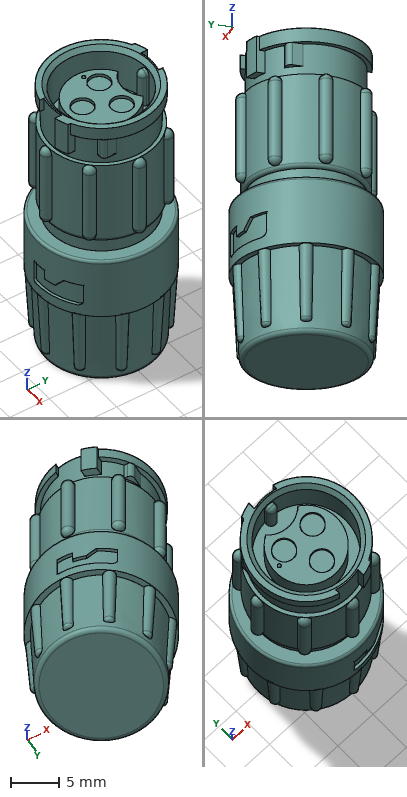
import cadquery as cq

total_height = 35.05
cap_top = 9.8
collar_top = 17.45
ring_bottom = 19.17
ring_top = 29.8
lug_bottom = 30.9
flange_bottom = 33.47

cap_turn = 18.7

cap_bottom_radius = 6.95
cap_top_radius = 7.33
collar_radius = 8.0
neck_radius = 6.3
ring_radius = 6.75
flange_radius = 6.85
cap_edge_round = 0.53
collar_edge_round = 0.3
ring_edge_round = 0.42

ring_rib_count = 8
ring_rib_radius = 0.75
ring_rib_circle = 6.87
ring_rib_bottom = 19.63
ring_rib_end_round = 0.99 * ring_rib_radius
cap_rib_count = 10
cap_rib_tip_height = 1.25
cap_rib_root_radius = 0.75
cap_rib_tip_radius = 0.6
cap_rib_root_circle = 7.22
cap_rib_tip_circle = 6.87
cap_rib_tip_round = 0.42
cap_rib_overlap = 0.18

gap_half_width = 1.58
tooth_width = 1.58
tooth_radius = 7.1
lug_x = 5.92
lug_y = 3.9
lug_round = 0.55

recess_depth = 0.35
recess_bottom = 11.1
recess_top = 13.95
recess_left = -3.22
recess_right = 3.15
stop_bottom = 12.75
stop_left = -1.47
stop_slope_width = 1.1
recess_large_round = 0.7
recess_small_round = 0.28

bore_radius = 5.6
bore_chamfer = 0.53
bore_floor = ring_top
insert_radius = 4.35
insert_top = 33.15
bite_radius = 3.2
bite_center_y = 5.9
contact_count = 3
contact_circle = 2.35
contact_radius = 1.3
contact_depth = 0.4
mark_x = -3.58
mark_y = 0.28
mark_radius = 0.2
key_radius = 0.63
key_center_y = 5.25
key_top = 34.3


def cylinder(radius, bottom, top, x=0.0, y=0.0):
    """Upright cylinder between two levels."""
    return cq.Workplane("XY", origin=(x, y, bottom)).circle(radius).extrude(top - bottom)


def block(x_min, x_max, y_min, y_max, bottom, top):
    """Box given by its limits."""
    size = (x_max - x_min, y_max - y_min, top - bottom)
    return cq.Workplane("XY", origin=(x_min, y_min, bottom)).box(*size, centered=False)


def both_sides(shape):
    """A shape together with its copy half a turn around the axis."""
    return shape.union(shape.rotate((0, 0, 0), (0, 0, 1), 180))


def around_axis(shape, count, start_angle):
    """Equally spaced copies of a shape that lies on the +X side."""
    copies = cq.Workplane("XY")
    for index in range(count):
        angle = start_angle + index * 360.0 / count
        copies = copies.add(shape.rotate((0, 0, 0), (0, 0, 1), angle))
    return copies.combine()


def turned_body():
    """Cap, collar, necks and grip ring, without ribs."""
    cap = (
        cq.Workplane("XZ")
        .moveTo(0, 0)
        .lineTo(cap_bottom_radius, 0)
        .lineTo(cap_top_radius, cap_top)
        .lineTo(0, cap_top)
        .close()
        .revolve(360, (0, 0, 0), (0, 1, 0))
        .faces("<Z").edges().fillet(cap_edge_round)
    )
    collar = cylinder(collar_radius, cap_top, collar_top).faces(">Z").edges().fillet(collar_edge_round)
    neck = cylinder(neck_radius, collar_top, total_height)
    ring = cylinder(ring_radius, ring_bottom, ring_top).faces("<Z").edges().fillet(ring_edge_round)
    return cap.union(collar).union(neck).union(ring)


def ring_ribs():
    """Upright round bars with ball ends around the grip ring."""
    rib = cylinder(ring_rib_radius, ring_rib_bottom, ring_top, x=ring_rib_circle)
    rib = rib.faces("<Z or >Z").edges().fillet(ring_rib_end_round)
    return around_axis(rib, ring_rib_count, 0)


def cap_ribs():
    """Leaning tapered bars that thin out toward the bottom of the cap."""
    root = cq.Vector(cap_rib_root_circle, 0, cap_top + cap_rib_overlap)
    tip = cq.Vector(cap_rib_tip_circle, 0, cap_rib_tip_height)
    axis = tip - root
    bar = cq.Workplane(
        cq.Solid.makeCone(cap_rib_root_radius, cap_rib_tip_radius, axis.Length, root, axis)
    )
    bar = bar.faces("<Z").edges().fillet(cap_rib_tip_round)
    half_pitch = 180.0 / cap_rib_count
    return around_axis(bar, cap_rib_count, -90 + cap_turn + half_pitch)


def bayonet_flange():
    """Flange with two gaps, a stop tooth beside each gap and a lug under each half."""
    reach = collar_radius
    gap = block(-gap_half_width, gap_half_width, -reach, reach, flange_bottom, total_height)
    flange = cylinder(flange_radius, flange_bottom, total_height).cut(gap)

    tooth_end = gap_half_width + tooth_width
    tooth_box = block(gap_half_width, tooth_end, -reach, 0, lug_bottom, total_height)
    tooth = tooth_box.intersect(cylinder(tooth_radius, lug_bottom, total_height))

    lug_box = block(0, lug_x, -lug_y, 0, lug_bottom, flange_bottom)
    lug = lug_box.edges("|Z and >X and <Y").fillet(lug_round)

    return flange.union(both_sides(tooth)).union(both_sides(lug))


def collar_recesses():
    """Shallow J-shaped pockets on opposite sides of the collar."""
    outline = (
        cq.Workplane("XZ")
        .moveTo(recess_left, recess_bottom)
        .lineTo(recess_right, recess_bottom)
        .lineTo(recess_right, recess_top)
        .lineTo(stop_slope_width, recess_top)
        .lineTo(0, stop_bottom)
        .lineTo(stop_left, stop_bottom)
        .lineTo(stop_left, recess_top)
        .lineTo(recess_left, recess_top)
        .close()
    )
    prism = outline.extrude(collar_radius + recess_depth)
    prism = prism.edges("|Y").edges("<Z").edges(">X").fillet(recess_large_round)
    prism = prism.edges("|Y").edges("<X").edges("<Z").fillet(recess_small_round)
    pocket = prism.cut(cylinder(collar_radius - recess_depth, cap_top, collar_top))
    return both_sides(pocket.rotate((0, 0, 0), (0, 0, 1), cap_turn))


def socket_cavity():
    """Bore with a chamfered mouth."""
    bore = cylinder(bore_radius, bore_floor, total_height)
    mouth = cq.Workplane(
        cq.Solid.makeCone(
            bore_radius,
            bore_radius + bore_chamfer,
            bore_chamfer,
            cq.Vector(0, 0, total_height - bore_chamfer),
        )
    )
    return bore.union(mouth)


def contact_insert():
    """Raised insert with contact holes, a domed index mark and a round bite facing the key."""
    insert = cylinder(insert_radius, bore_floor, insert_top)
    insert = insert.cut(cylinder(bite_radius, bore_floor, insert_top, y=bite_center_y))
    hole_bottom = insert_top - contact_depth
    hole = cylinder(contact_radius, hole_bottom, insert_top, x=contact_circle)
    insert = insert.cut(around_axis(hole, contact_count, -90))
    mark = cq.Workplane("XY", origin=(mark_x, mark_y, insert_top)).sphere(mark_radius)
    return insert.union(mark)


def polarizing_key():
    """Round-topped key standing against the +Y side of the bore."""
    shoulder = key_top - key_radius
    wall_y = 0.5 * (bore_radius + neck_radius)
    post = cylinder(key_radius, bore_floor, shoulder, y=key_center_y)
    dome = cq.Workplane("XY", origin=(0, key_center_y, shoulder)).sphere(key_radius)
    web = block(-key_radius, key_radius, key_center_y, wall_y, bore_floor, shoulder)
    ridge = (
        cq.Workplane("XZ", origin=(0, wall_y, shoulder))
        .circle(key_radius)
        .extrude(wall_y - key_center_y)
    )
    return post.union(dome).union(web).union(ridge)


result = (
    turned_body()
    .union(ring_ribs())
    .union(cap_ribs())
    .union(bayonet_flange())
    .cut(collar_recesses())
    .cut(socket_cavity())
    .union(contact_insert())
    .union(polarizing_key())
)